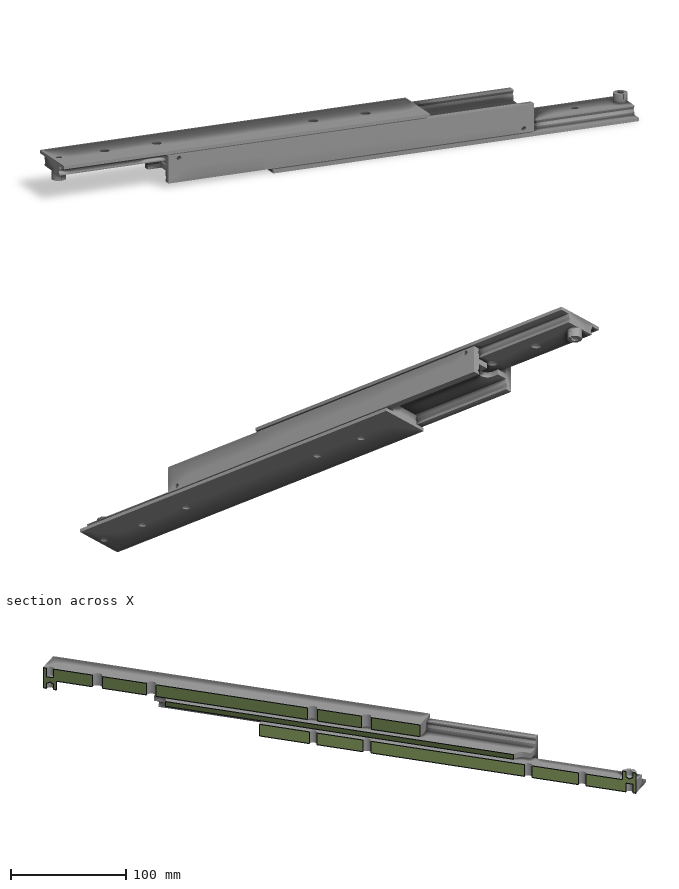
import cadquery as cq

TOTAL_LENGTH = 550.0
WIDTH = 50.0
HEIGHT = 34.0
MEMBER_LENGTH = 350.0
MID_Y = TOTAL_LENGTH / 2
MID_Z = HEIGHT / 2
LOWER_RAIL_START = TOTAL_LENGTH - MEMBER_LENGTH
MIDDLE_START = MID_Y - MEMBER_LENGTH / 2

FLANGE_THICKNESS = 3.0
RAIL_HEIGHT = 11.5
RAIL_BODY_HALF_WIDTH = 15.5
GROOVE_LAND = 1.0
GROOVE_HEIGHT = 5.0
GROOVE_DEPTH = 1.4
GROOVE_TOP_Z = RAIL_HEIGHT - GROOVE_LAND
GROOVE_BOTTOM_Z = GROOVE_TOP_Z - GROOVE_HEIGHT
GROOVE_MID_Z = (GROOVE_TOP_Z + GROOVE_BOTTOM_Z) / 2

HOLE_PITCH = 50.0
LOWER_HOLE_DIAMETER = 6.5
UPPER_HOLE_DIAMETER = 9.0

PIN_DIAMETER = 12.5
PIN_HEIGHT = 8.0
PIN_Y = TOTAL_LENGTH - PIN_DIAMETER / 2
PIN_TOP_Z = RAIL_HEIGHT + PIN_HEIGHT
PIN_BORE_DIAMETER = 6.0
PIN_BORE_DEPTH = 5.0
PIN_BORE_TIP = 1.5
PIN_SLOT_WIDTH = 0.8
PIN_RECESS_DEPTH = 8.0

MIDDLE_WIDTH = 49.5
MIDDLE_HEIGHT = 25.5
MIDDLE_BOTTOM_Z = MID_Z - MIDDLE_HEIGHT / 2
WEB_THICKNESS = 5.0
CHANNEL_HALF_WIDTH = 18.0

NOTCH_WIDTH = 15.0
NOTCH_DEPTH = 13.0

CROSS_HOLE_DIAMETER = 4.5
CROSS_HOLE_INSET = 10.0


def symmetric_bar(right_half, start):
    """Extrude a section toward +Y from its right half, a list of (x, z) points."""
    left_half = [(-x, z) for x, z in reversed(right_half)]
    section = cq.Workplane("XZ", origin=(0, start, 0)).polyline(right_half + left_half).close()
    return section.extrude(-MEMBER_LENGTH)


def v_groove(side_x, bottom_x):
    """Points of one groove, from its edge nearer the flange to the other edge."""
    return [(side_x, GROOVE_BOTTOM_Z), (bottom_x, GROOVE_MID_Z), (side_x, GROOVE_TOP_Z)]


def disc(diameter, y, bottom_z, height):
    """Upright cylinder on the plane x = 0."""
    return cq.Workplane("XY", origin=(0, y, bottom_z)).circle(diameter / 2).extrude(height)


def add_stop_pin(rail):
    """Stop pin with a drilled, slotted top and a blind hole behind it."""
    bore_floor_z = PIN_TOP_Z - PIN_BORE_DEPTH
    bore = disc(PIN_BORE_DIAMETER, PIN_Y, bore_floor_z, PIN_BORE_DEPTH)
    bore_tip = cq.Solid.makeCone(
        PIN_BORE_DIAMETER / 2, 0, PIN_BORE_TIP,
        pnt=cq.Vector(0, PIN_Y, bore_floor_z), dir=cq.Vector(0, 0, -1),
    )
    slot = (
        cq.Workplane("XY", origin=(0, PIN_Y, bore_floor_z))
        .rect(PIN_DIAMETER, PIN_SLOT_WIDTH)
        .extrude(PIN_BORE_DEPTH)
    )
    recess = disc(PIN_BORE_DIAMETER, PIN_Y, 0, PIN_RECESS_DEPTH)
    rail = rail.union(disc(PIN_DIAMETER, PIN_Y, RAIL_HEIGHT, PIN_HEIGHT))
    return rail.cut(bore).cut(cq.Workplane(bore_tip)).cut(slot).cut(recess)


def make_rail(hole_diameter):
    """Rail in the lower position, with its flange on z = 0 and its pin at the +Y end."""
    right_half = [
        (WIDTH / 2, 0),
        (WIDTH / 2, FLANGE_THICKNESS),
        (RAIL_BODY_HALF_WIDTH, FLANGE_THICKNESS),
        *v_groove(RAIL_BODY_HALF_WIDTH, RAIL_BODY_HALF_WIDTH - GROOVE_DEPTH),
        (RAIL_BODY_HALF_WIDTH, RAIL_HEIGHT),
    ]
    rail = symmetric_bar(right_half, LOWER_RAIL_START)
    for step in (1, 2):
        for hole_y in (LOWER_RAIL_START + step * HOLE_PITCH, TOTAL_LENGTH - step * HOLE_PITCH):
            rail = rail.cut(disc(hole_diameter, hole_y, 0, RAIL_HEIGHT))
    return add_stop_pin(rail)


def half_turn(body):
    """Turn a body from the lower position to the upper one, about the X axis at mid-assembly."""
    return body.rotate((0, MID_Y, MID_Z), (1, MID_Y, MID_Z), 180)


def end_cutter():
    """Notch and cross hole at the +Y end of the middle member."""
    end_y = MIDDLE_START + MEMBER_LENGTH
    arc_y = end_y - NOTCH_DEPTH + NOTCH_WIDTH / 2
    notch = (
        cq.Workplane("XY")
        .moveTo(-NOTCH_WIDTH / 2, end_y)
        .lineTo(-NOTCH_WIDTH / 2, arc_y)
        .threePointArc((0, end_y - NOTCH_DEPTH), (NOTCH_WIDTH / 2, arc_y))
        .lineTo(NOTCH_WIDTH / 2, end_y)
        .close()
        .extrude(HEIGHT)
    )
    cross_hole = (
        cq.Workplane("YZ", origin=(-WIDTH / 2, end_y - CROSS_HOLE_INSET, GROOVE_MID_Z))
        .circle(CROSS_HOLE_DIAMETER / 2)
        .extrude(WIDTH)
    )
    return notch.union(cross_hole)


def make_middle_member():
    """H section joining the two rails, with the same cuts at both ends."""
    lower_quarter = [
        (MIDDLE_WIDTH / 2, MIDDLE_BOTTOM_Z),
        (CHANNEL_HALF_WIDTH, MIDDLE_BOTTOM_Z),
        *v_groove(CHANNEL_HALF_WIDTH, CHANNEL_HALF_WIDTH + GROOVE_DEPTH),
        (CHANNEL_HALF_WIDTH, MID_Z - WEB_THICKNESS / 2),
    ]
    upper_quarter = [(x, HEIGHT - z) for x, z in lower_quarter]
    right_half = lower_quarter[::-1] + upper_quarter
    cutter = end_cutter()
    return symmetric_bar(right_half, MIDDLE_START).cut(cutter).cut(half_turn(cutter))


lower_rail = make_rail(LOWER_HOLE_DIAMETER)
upper_rail = half_turn(make_rail(UPPER_HOLE_DIAMETER))
middle_member = make_middle_member()

result = cq.Compound.makeCompound([lower_rail.val(), upper_rail.val(), middle_member.val()])